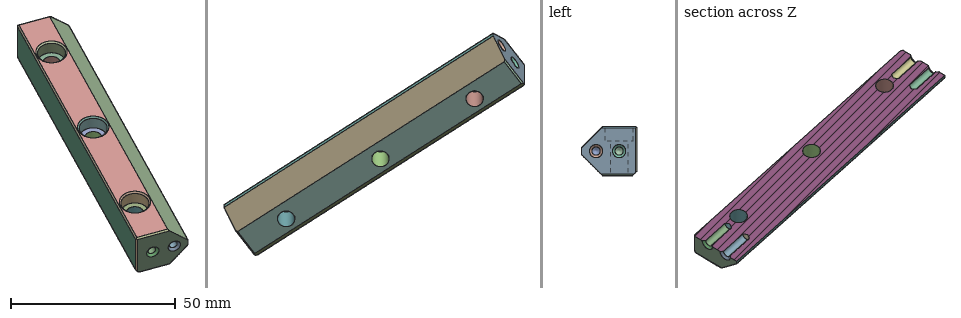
import cadquery as cq
import math

LENGTH = 100.0
WIDTH = 17.0
HEIGHT = 15.0
NOSE_FLAT = 2.0
NOSE_RUN = (HEIGHT - NOSE_FLAT) / 2
EDGE_CHAMFER = 0.5
BOTTOM_FRONT_CHAMFER = 1.5

SCREW_PITCH = 35.0
SCREW_X = (-SCREW_PITCH, 0.0, SCREW_PITCH)
SCREW_FROM_FRONT = 5.5
SCREW_DIAMETER = 5.25
COUNTERBORE_DIAMETER = 8.5
COUNTERBORE_DEPTH = 4.5
COUNTERBORE_CHAMFER = 0.5

END_HOLE_DIAMETER = 2.5
END_HOLE_MOUTH_DIAMETER = 4.0
END_HOLE_DEPTH = 10.0
DRILL_TIP_ANGLE = 118.0
END_HOLE_SPACING = 7.0
END_HOLE_FROM_NOSE = 4.5

HALF_LENGTH = LENGTH / 2
FRONT_Y = -WIDTH / 2
NOSE_Y = WIDTH / 2
TOP_Z = HEIGHT / 2


def make_bar():
    """Pointed bar with chamfered long front edges."""
    slope_start_y = NOSE_Y - NOSE_RUN
    profile = [
        (FRONT_Y + BOTTOM_FRONT_CHAMFER, -TOP_Z),
        (slope_start_y, -TOP_Z),
        (NOSE_Y, -NOSE_FLAT / 2),
        (NOSE_Y, NOSE_FLAT / 2),
        (slope_start_y, TOP_Z),
        (FRONT_Y + EDGE_CHAMFER, TOP_Z),
        (FRONT_Y, TOP_Z - EDGE_CHAMFER),
        (FRONT_Y, -TOP_Z + BOTTOM_FRONT_CHAMFER),
    ]
    return cq.Workplane("YZ").polyline(profile).close().extrude(HALF_LENGTH, both=True)


def make_end_chamfer_envelope():
    """Block whose chamfers trim the top, bottom and front edges of both ends."""
    block = cq.Workplane("XY").box(LENGTH, WIDTH, HEIGHT)
    return block.edges("|Y or (|Z and <Y)").chamfer(EDGE_CHAMFER)


def make_screw_hole(x):
    """Through hole with a counterbore and a chamfered mouth at the top."""
    mouth_radius = COUNTERBORE_DIAMETER / 2 + COUNTERBORE_CHAMFER
    counterbore_floor = TOP_Z - COUNTERBORE_DEPTH
    half_section = [
        (0, -TOP_Z),
        (SCREW_DIAMETER / 2, -TOP_Z),
        (SCREW_DIAMETER / 2, counterbore_floor),
        (COUNTERBORE_DIAMETER / 2, counterbore_floor),
        (COUNTERBORE_DIAMETER / 2, TOP_Z - COUNTERBORE_CHAMFER),
        (mouth_radius, TOP_Z),
        (0, TOP_Z),
    ]
    hole = cq.Workplane("XZ").polyline(half_section).close().revolve(360, (0, 0), (0, 1))
    return hole.translate((x, FRONT_Y + SCREW_FROM_FRONT, 0))


def make_end_hole(y):
    """Drilled hole with a 45 degree mouth and a conical tip, running in from the -X end."""
    radius = END_HOLE_DIAMETER / 2
    tip_length = radius / math.tan(math.radians(DRILL_TIP_ANGLE / 2))
    mouth_radius = END_HOLE_MOUTH_DIAMETER / 2
    half_section = [
        (-HALF_LENGTH, 0),
        (-HALF_LENGTH, mouth_radius),
        (-HALF_LENGTH + mouth_radius - radius, radius),
        (-HALF_LENGTH + END_HOLE_DEPTH, radius),
        (-HALF_LENGTH + END_HOLE_DEPTH + tip_length, 0),
    ]
    hole = cq.Workplane("XY").polyline(half_section).close().revolve(360, (0, 0), (1, 0))
    return hole.translate((0, y, 0))


result = make_bar().intersect(make_end_chamfer_envelope())

for screw_x in SCREW_X:
    result = result.cut(make_screw_hole(screw_x))

outer_hole_y = NOSE_Y - END_HOLE_FROM_NOSE
for hole_y in (outer_hole_y, outer_hole_y - END_HOLE_SPACING):
    end_hole = make_end_hole(hole_y)
    result = result.cut(end_hole).cut(end_hole.mirror("YZ"))